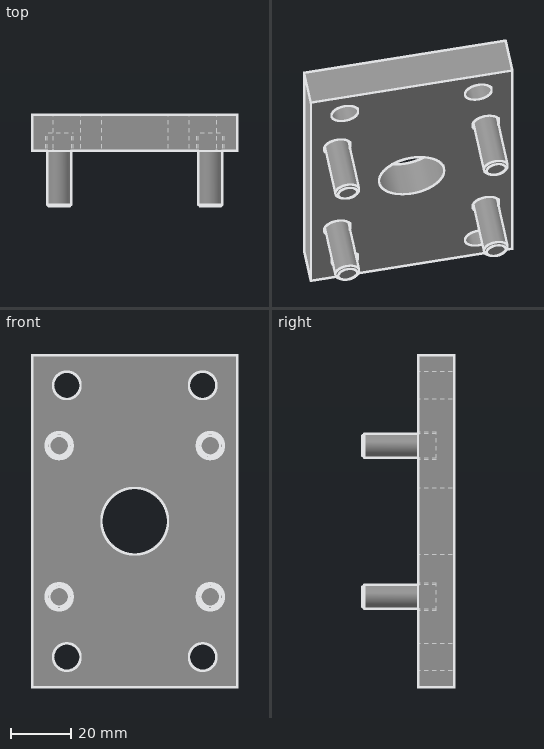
import cadquery as cq

plate_width = 68.0
plate_height = 110.0
plate_thickness = 12.0
overall_depth = 30.5

bore_diameter = 22.0
bolt_hole_diameter = 9.0
bolt_spacing_x = 45.0
bolt_spacing_z = 90.0

pin_diameter = 8.0
pin_hole_diameter = 9.0
pin_hole_depth = plate_thickness / 2
pin_spacing = 50.0
pin_tip_chamfer = 0.8
pin_projection = overall_depth - plate_thickness


def corner_points(spacing_x, spacing_z):
    """Four (x, z) points on the corners of a centred rectangle."""
    return [(sx * spacing_x / 2, sz * spacing_z / 2) for sx in (-1, 1) for sz in (-1, 1)]


bolt_points = corner_points(bolt_spacing_x, bolt_spacing_z)
pin_points = corner_points(pin_spacing, pin_spacing)


def cylinders_along_y(points, diameter, y_start, y_end):
    """Round bars at the given (x, z) points, running from y_start to y_end."""
    front = cq.Workplane("XZ", origin=(0, y_start, 0))
    return front.pushPoints(points).circle(diameter / 2).extrude(y_start - y_end)


def make_plate():
    """Rectangular plate with a centre bore, four bolt holes and four blind pin holes."""
    blank = cq.Workplane("XZ").rect(plate_width, plate_height).extrude(-plate_thickness)
    bore = cylinders_along_y([(0, 0)], bore_diameter, 0, plate_thickness)
    bolt_holes = cylinders_along_y(bolt_points, bolt_hole_diameter, 0, plate_thickness)
    pin_holes = cylinders_along_y(pin_points, pin_hole_diameter, 0, pin_hole_depth)
    return blank.cut(bore).cut(bolt_holes).cut(pin_holes)


def make_pin(point):
    """Pin from the floor of its blind hole to a chamfered tip in front of the plate."""
    pin = cylinders_along_y([point], pin_diameter, -pin_projection, pin_hole_depth)
    return pin.faces("<Y").chamfer(pin_tip_chamfer)


plate = make_plate()
pins = [make_pin(point) for point in pin_points]

result = cq.Compound.makeCompound([plate.val(), *[pin.val() for pin in pins]])